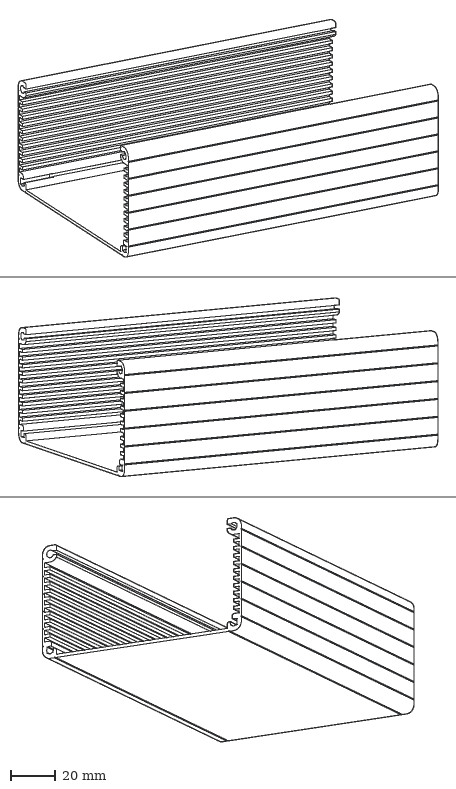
import cadquery as cq

WIDTH = 103.0
LENGTH = 160.0
HEIGHT = 53.0

WALL = 1.2
FLOOR = 1.5
CORNER_RADIUS = 4.0

CHANNEL_RADIUS = 1.75
BOSS_RADIUS = 3.8
BOSS_REACH = 7.3

SLOT_TOP_DEPTH = 2.7
SLOT_BOTTOM_DEPTH = 4.6
TIP_FILLET = 0.8

LOWER_CHANNEL_LEFT = 2.3
LOWER_CHANNEL_RIGHT = 5.3
LOWER_CHANNEL_BOTTOM = 2.7
LOWER_CHANNEL_TOP = 5.5
SCREW_HOLE_DEPTH = 15.0
LOWER_BOSS_HEIGHT = 8.1
UPPER_LIP_REACH = 4.8
INNER_LIP_HEIGHT = 4.5
UPPER_LIP_TOP_FILLET = 1.2
UPPER_LIP_BOTTOM_FILLET = 0.5
INNER_LIP_FILLET = 1.0

FIN_COUNT = 10
FIN_PITCH = 3.5
FIN_THICKNESS = 1.5
FIN_REACH = 4.0

GROOVE_COUNT = 6
GROOVE_PITCH = 8.2
GROOVE_CENTRE_Z = 26.75
GROOVE_WIDTH = 0.5
GROOVE_DEPTH = 0.3
FLOOR_GROOVE_X = 6.4

LEFT = -WIDTH / 2
UPPER_CENTRE_Z = HEIGHT - CORNER_RADIUS


def extrude(profile):
    """Draw a closed XZ profile out over the full length, centred on Y."""
    return profile.extrude(LENGTH / 2, both=True)


def sketch():
    """XZ workplane with its origin at the lower left corner of the profile."""
    return cq.Workplane("XZ", origin=(LEFT, 0, 0))


def block(x_min, x_max, z_min, z_max):
    width = x_max - x_min
    height = z_max - z_min
    return extrude(sketch().moveTo(x_min + width / 2, z_min + height / 2).rect(width, height))


def rod(z, radius):
    return extrude(sketch().moveTo(CORNER_RADIUS, z).circle(radius))


def centred_positions(centre, count, pitch):
    """Heights of evenly spaced features about a middle height."""
    return [centre + (i - (count - 1) / 2) * pitch for i in range(count)]


def upper_boss():
    """Top rim: a flat lip above a round boss, before its screw channel is cut."""
    lip = block(0, BOSS_REACH, UPPER_CENTRE_Z, HEIGHT)
    lip = lip.edges("|Y and >X and >Z").fillet(TIP_FILLET)
    round_part = rod(UPPER_CENTRE_Z, BOSS_RADIUS)
    round_part = round_part.intersect(block(0, BOSS_REACH, 0, HEIGHT))
    root = block(0, CORNER_RADIUS, UPPER_CENTRE_Z - BOSS_RADIUS, HEIGHT)
    return lip.union(round_part).union(root)


def upper_channel():
    """Round screw channel with a slot opening towards the inside."""
    mouth = block(
        CORNER_RADIUS, BOSS_REACH, HEIGHT - SLOT_BOTTOM_DEPTH, HEIGHT - SLOT_TOP_DEPTH
    )
    return rod(UPPER_CENTRE_Z, CHANNEL_RADIUS).union(mouth)


def lower_boss():
    """Bottom corner: an upper lip on the wall and an inner lip on the floor."""
    upper_lip = block(0, UPPER_LIP_REACH, LOWER_CHANNEL_TOP, LOWER_BOSS_HEIGHT)
    upper_lip = upper_lip.edges("|Y and >X and >Z").fillet(UPPER_LIP_TOP_FILLET)
    upper_lip = upper_lip.edges("|Y and >X and <Z").fillet(UPPER_LIP_BOTTOM_FILLET)
    inner_lip = block(0, BOSS_REACH, 0, INNER_LIP_HEIGHT)
    inner_lip = inner_lip.edges("|Y and >X and >Z").fillet(INNER_LIP_FILLET)
    root = block(0, LOWER_CHANNEL_LEFT, 0, LOWER_BOSS_HEIGHT)
    return upper_lip.union(inner_lip).union(root)


def lower_channel():
    """Square screw channel, open at its inner top corner."""
    return block(
        LOWER_CHANNEL_LEFT, LOWER_CHANNEL_RIGHT, LOWER_CHANNEL_BOTTOM, LOWER_CHANNEL_TOP
    )


def lower_screw_hole():
    """Blind round hole sunk along the lower channel from the front end."""
    front_end = cq.Workplane("XZ", origin=(LEFT, -LENGTH / 2, 0))
    hole = front_end.moveTo(CORNER_RADIUS, CORNER_RADIUS).circle(CHANNEL_RADIUS)
    return hole.extrude(-SCREW_HOLE_DEPTH)


def side_groove(z):
    half = GROOVE_WIDTH / 2
    corners = [(0, z - half), (GROOVE_DEPTH, z), (0, z + half)]
    return extrude(sketch().polyline(corners).close())


def floor_groove():
    half = GROOVE_WIDTH / 2
    corners = [(FLOOR_GROOVE_X - half, 0), (FLOOR_GROOVE_X, GROOVE_DEPTH), (FLOOR_GROOVE_X + half, 0)]
    return extrude(sketch().polyline(corners).close())


def fin(z):
    return block(0, FIN_REACH, z - FIN_THICKNESS / 2, z + FIN_THICKNESS / 2)


def half_channel():
    """Left half of the extrusion, up to the middle plane."""
    half = block(0, WALL, 0, HEIGHT).union(block(0, WIDTH / 2, 0, FLOOR))
    half = half.union(upper_boss()).union(lower_boss())
    for z in centred_positions(HEIGHT / 2, FIN_COUNT, FIN_PITCH):
        half = half.union(fin(z))
    half = half.edges("|Y and <X").fillet(CORNER_RADIUS)
    half = half.cut(upper_channel()).cut(lower_channel()).cut(lower_screw_hole())
    half = half.cut(floor_groove())
    for z in centred_positions(GROOVE_CENTRE_Z, GROOVE_COUNT, GROOVE_PITCH):
        half = half.cut(side_groove(z))
    return half


left_half = half_channel()
result = left_half.union(left_half.mirror("YZ")).clean()